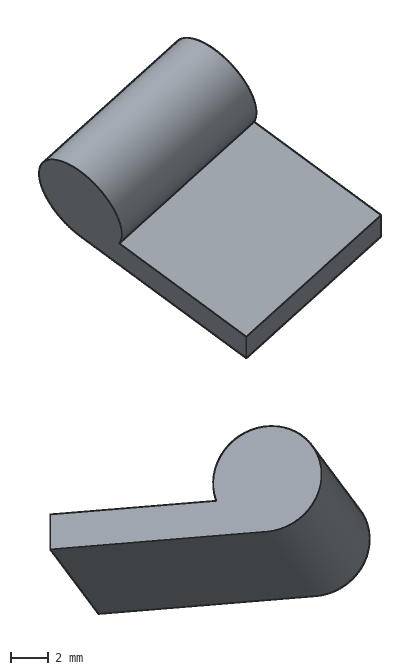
import cadquery as cq

total_length = 15.0
depth = 10.8
barrel_diameter = 6.0
plate_thickness = 2.0

barrel_radius = barrel_diameter / 2
plate_length = total_length - barrel_radius


def make_barrel():
    """Solid cylinder along Y, centred on the origin."""
    return cq.Workplane("XZ").circle(barrel_radius).extrude(depth / 2, both=True)


def make_plate():
    """Flat plate whose underside is tangent to the bottom of the barrel."""
    return (
        cq.Workplane("XY")
        .box(plate_length, depth, plate_thickness, centered=(False, True, False))
        .translate((0, 0, -barrel_radius))
    )


result = make_barrel().union(make_plate())